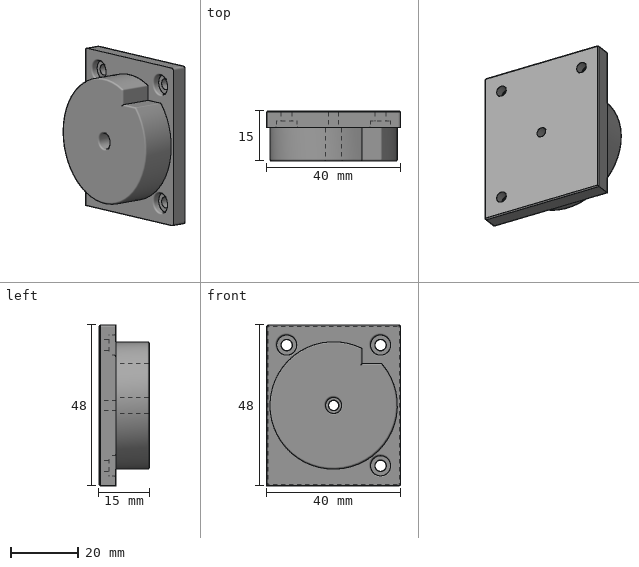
import cadquery as cq
import math

plate_width = 40.0
plate_height = 48.0
plate_thickness = 5.0
corner_radius = 0.7
back_chamfer = 0.4

boss_diameter = 38.0
boss_height = 10.0
edge_radius = 0.5
notch_wall_x = 8.5
notch_floor_z = 12.5

screw_x = 14.0
screw_z = 18.0
screw_diameter = 3.3
screw_head_diameter = 6.0
screw_head_depth = 2.0

pivot_diameter = 3.0
pivot_recess_diameter = 4.8
pivot_recess_depth = 10.0

plate_front_y = 0.0
boss_front_y = plate_front_y - boss_height
total_depth = plate_thickness + boss_height


def make_plate():
    """Plate with three rounded corners, a square lower -X corner and a chamfered back."""
    plate = cq.Workplane("XY").box(
        plate_width, plate_thickness, plate_height, centered=(True, False, True)
    )
    plate = plate.edges("|Y").edges(">X or >Z").fillet(corner_radius)
    return plate.faces(">Y").edges().chamfer(back_chamfer)


def make_boss():
    """Disc with a square-cornered notch in its upper +X side."""
    radius = boss_diameter / 2
    disc = cq.Workplane("XZ").circle(radius).extrude(boss_height)
    notch = (
        cq.Workplane("XZ")
        .moveTo(notch_wall_x, notch_floor_z)
        .rect(radius, radius, centered=False)
        .extrude(boss_height)
    )
    boss = disc.cut(notch)
    boss = boss.edges("|Y").edges(">X or >Z").fillet(edge_radius)
    return boss.faces("<Y").edges().fillet(edge_radius)


def stepped_hole(x, z, face_y, diameter, recess_diameter, recess_depth):
    """Cutter for a through hole with a wider recess whose mouth is rounded outward."""
    radius = diameter / 2
    recess_radius = recess_diameter / 2
    mouth_radius = recess_radius + edge_radius
    arc_reach = edge_radius * math.sqrt(0.5)
    profile = (
        cq.Workplane("XY")
        .lineTo(mouth_radius, 0)
        .threePointArc(
            (mouth_radius - arc_reach, edge_radius - arc_reach),
            (recess_radius, edge_radius),
        )
        .lineTo(recess_radius, recess_depth)
        .lineTo(radius, recess_depth)
        .lineTo(radius, total_depth)
        .lineTo(0, total_depth)
        .close()
    )
    return profile.revolve(360, (0, 0), (0, 1)).translate((x, face_y, z))


result = make_plate().union(make_boss())

for x, z in ((-screw_x, screw_z), (screw_x, screw_z), (screw_x, -screw_z)):
    result = result.cut(
        stepped_hole(x, z, plate_front_y, screw_diameter, screw_head_diameter, screw_head_depth)
    )

result = result.cut(
    stepped_hole(0, 0, boss_front_y, pivot_diameter, pivot_recess_diameter, pivot_recess_depth)
)